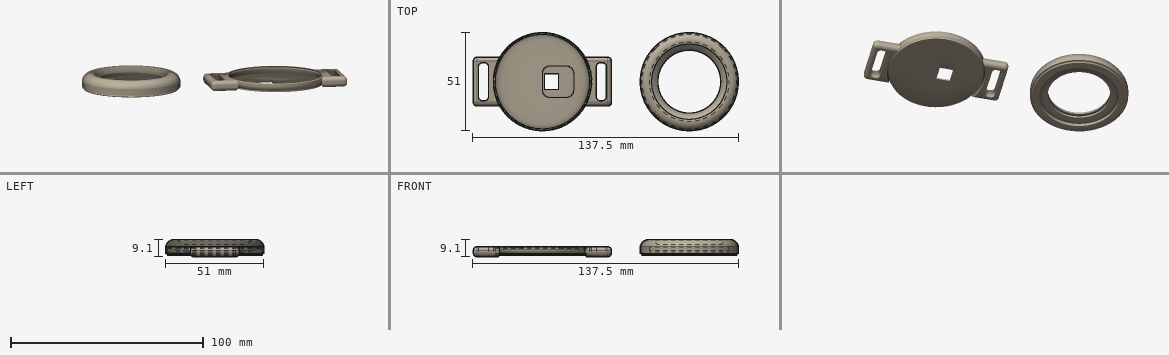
import cadquery as cq

total_length = 137.5
outer_diameter = 51.0
outer_radius = outer_diameter / 2
strap_span = 71.8
tray_x = strap_span / 2
bezel_x = total_length - outer_radius

base_z = 0.8
tray_top_z = 5.4

snap_neck_radius = 49.0 / 2
bead_radius = 49.6 / 2
groove_radius = 49.8 / 2
snap_height = 1.1
bead_height = 0.4

floor_thickness = 1.1
wall_curve_z = 3.8
wall_curve_bulge = (25.2, 2.5)
rim_chamfer = 0.2
foot_radius = 49.0 / 2
foot_top_z = 1.5
recess_size = 16.4
recess_corner_radius = 4.0
recess_offset = 8.1
recess_depth = 0.3
window_length = 7.1
window_width = 8.0
window_offset = 4.7

lug_width = 25.5
lug_height = tray_top_z
lug_edge_radius = 2.0
slot_width = 5.1
slot_length = 19.5
slot_corner_radius = 1.9
slot_inset = 5.4

bezel_top_z = 9.1
bezel_side_top_z = tray_top_z
bezel_shoulder_z = base_z + snap_height
crown_apex_radius = 21.0
crown_inner = (19.5, 8.8)
opening_radius = 32.5 / 2
cone_bottom_z = 6.3
lip_bottom_z = 5.2
ledge_top_z = 3.5
ledge_bottom_z = 2.5
cavity_radius = 20.6


def make_tray():
    """Shallow round tray with a snap groove in its rim and a window in its floor."""
    floor_z = base_z + floor_thickness
    groove_bottom_z = tray_top_z - snap_height
    groove_middle_z = groove_bottom_z + bead_height
    tray = (
        cq.Workplane("XZ")
        .moveTo(0, base_z)
        .lineTo(foot_radius, base_z)
        .lineTo(foot_radius, foot_top_z)
        .threePointArc(wall_curve_bulge, (outer_radius, wall_curve_z))
        .lineTo(outer_radius, tray_top_z - rim_chamfer)
        .lineTo(outer_radius - rim_chamfer, tray_top_z)
        .lineTo(snap_neck_radius, tray_top_z)
        .lineTo(groove_radius, groove_middle_z)
        .lineTo(snap_neck_radius, groove_bottom_z)
        .lineTo(snap_neck_radius, floor_z)
        .lineTo(0, floor_z)
        .close()
        .revolve(360, (0, 0), (0, 1))
    )
    recess = (
        cq.Workplane("XY", origin=(recess_offset, 0, floor_z - recess_depth))
        .rect(recess_size, recess_size)
        .extrude(recess_depth)
        .edges("|Z")
        .fillet(recess_corner_radius)
    )
    window = (
        cq.Workplane("XY", origin=(window_offset, 0, base_z))
        .rect(window_length, window_width)
        .extrude(floor_thickness)
    )
    return tray.cut(recess).cut(window).translate((tray_x, 0, 0))


def make_lug(side):
    """Rounded strap lug on one side of the tray: -1 for the -X side, 1 for the +X side."""
    block = (
        cq.Workplane("XY")
        .box(strap_span, lug_width, lug_height, centered=(True, True, False))
        .edges()
        .fillet(lug_edge_radius)
    )
    side_half = (
        cq.Workplane("XY", origin=(side * strap_span / 2, 0, 0))
        .rect(strap_span, lug_width)
        .extrude(lug_height)
    )
    tray_clearance = cq.Workplane("XY").circle(outer_radius).extrude(lug_height)
    slot = (
        cq.Workplane("XY", origin=(side * (strap_span / 2 - slot_inset), 0, 0))
        .rect(slot_width, slot_length)
        .extrude(lug_height)
        .edges("|Z")
        .fillet(slot_corner_radius)
    )
    lug = block.intersect(side_half).cut(tray_clearance).cut(slot)
    return lug.translate((tray_x, 0, 0))


def make_bezel():
    """Domed ring with a conical opening, an inner groove and a snap bead at the bottom."""
    bead_z = base_z + bead_height
    crown_apex = (crown_apex_radius, bezel_top_z)
    bezel = (
        cq.Workplane("XZ")
        .moveTo(cavity_radius, base_z)
        .lineTo(snap_neck_radius, base_z)
        .lineTo(bead_radius, bead_z)
        .lineTo(snap_neck_radius, bezel_shoulder_z)
        .lineTo(outer_radius, bezel_shoulder_z)
        .lineTo(outer_radius, bezel_side_top_z)
        .threePointArc(crown_apex, crown_inner)
        .lineTo(opening_radius, cone_bottom_z)
        .lineTo(opening_radius, lip_bottom_z)
        .lineTo(cavity_radius, lip_bottom_z)
        .lineTo(cavity_radius, ledge_top_z)
        .lineTo(opening_radius, ledge_top_z)
        .lineTo(opening_radius, ledge_bottom_z)
        .lineTo(cavity_radius, ledge_bottom_z)
        .close()
        .revolve(360, (0, 0), (0, 1))
    )
    return bezel.translate((bezel_x, 0, 0))


tray = make_tray()
lugs = [make_lug(side) for side in (-1, 1)]
bezel = make_bezel()

result = cq.Compound.makeCompound([tray.val(), *[lug.val() for lug in lugs], bezel.val()])